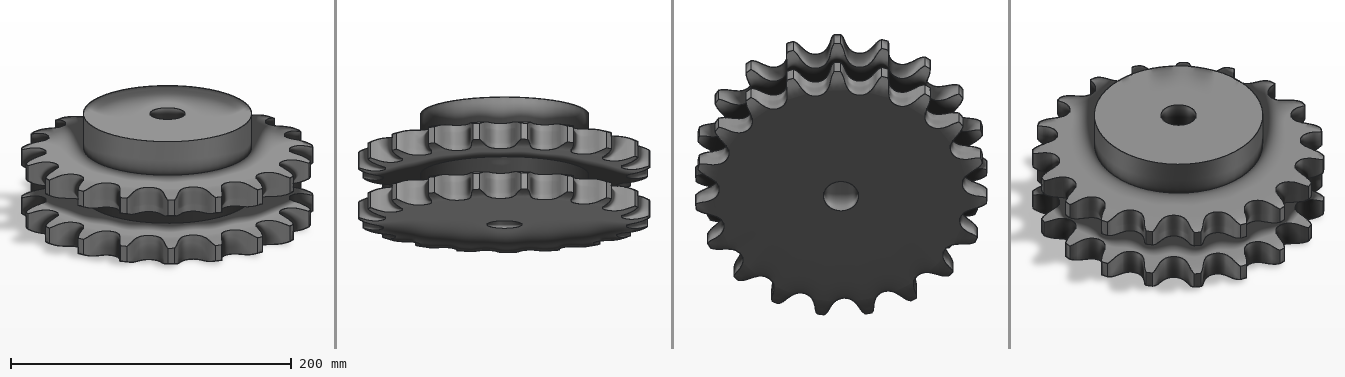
import cadquery as cq
import math


TOOTH_COUNT = 19
CHAIN_PITCH = 31.8
ROLLER_DIAMETER = 19.1
TIP_RADIUS = 104.0

ROW_COUNT = 2
ROW_THICKNESS = 18.3
ROW_SPACING = 36.3
BEVEL_DEPTH = 3.3
BEVEL_RADIUS = CHAIN_PITCH

HUB_DIAMETER = 120.0
HUB_HEIGHT = 80.0
BORE_DIAMETER = 25.0

WORKING_CENTRE_FACTOR = 0.8
TOPPING_CENTRE_FACTOR = 1.4
SEAT_RADIUS = ROLLER_DIAMETER / 2
SEAT_ANGLE = math.radians(35 + 60 / TOOTH_COUNT)
WORKING_ANGLE = math.radians(18 - 56 / TOOTH_COUNT)
FLANK_ANGLE = SEAT_ANGLE - WORKING_ANGLE

TOOTH_ANGLE = 2 * math.pi / TOOTH_COUNT
PITCH_RADIUS = CHAIN_PITCH / 2 / math.sin(TOOTH_ANGLE / 2)


def offset(point, distance, angle):
    """Point moved by a distance along a direction measured from +X."""
    return (point[0] + distance * math.cos(angle), point[1] + distance * math.sin(angle))


def mirrored(point):
    return (-point[0], point[1])


def turned(point, angle):
    radius = math.hypot(*point)
    return offset((0, 0), radius, math.atan2(point[1], point[0]) + angle)


def right_flank():
    """Points up the right side of the gap centred on +Y, from the seat end to the tooth tip."""
    seat_centre = (0, PITCH_RADIUS)
    seat_end = offset(seat_centre, SEAT_RADIUS, -SEAT_ANGLE)

    working_centre = offset(seat_centre, -WORKING_CENTRE_FACTOR * ROLLER_DIAMETER, -SEAT_ANGLE)
    working_radius = WORKING_CENTRE_FACTOR * ROLLER_DIAMETER + SEAT_RADIUS
    working_middle = offset(working_centre, working_radius, -(SEAT_ANGLE + FLANK_ANGLE) / 2)
    working_end = offset(working_centre, working_radius, -FLANK_ANGLE)

    topping_centre = offset(seat_centre, TOPPING_CENTRE_FACTOR * ROLLER_DIAMETER, -TOOTH_ANGLE / 2)
    across = topping_centre[0] - working_centre[0]
    upward = topping_centre[1] - working_centre[1]
    normal_distance = across * math.cos(FLANK_ANGLE) - upward * math.sin(FLANK_ANGLE)
    topping_radius = normal_distance - working_radius
    topping_start = offset(topping_centre, -topping_radius, -FLANK_ANGLE)

    centre_distance = math.hypot(*topping_centre)
    centre_angle = math.atan2(topping_centre[1], topping_centre[0])
    cosine = (TIP_RADIUS**2 + centre_distance**2 - topping_radius**2) / (2 * TIP_RADIUS * centre_distance)
    tip = offset((0, 0), TIP_RADIUS, centre_angle + math.acos(cosine))
    tip_angle = math.atan2(tip[1] - topping_centre[1], tip[0] - topping_centre[0])
    topping_middle = offset(topping_centre, topping_radius, (tip_angle + math.pi - FLANK_ANGLE) / 2)

    return seat_end, working_middle, working_end, topping_start, topping_middle, tip


def tooth_outline():
    """Closed outline of the toothed wheel, with a gap on +Y and a tooth on -Y."""
    seat_end, working_middle, working_end, topping_start, topping_middle, tip = right_flank()
    seat_bottom = (0, PITCH_RADIUS - SEAT_RADIUS)
    tip_middle = offset((0, 0), TIP_RADIUS, math.pi / 2 - TOOTH_ANGLE / 2)

    next_flank_start = turned(mirrored(tip), -TOOTH_ANGLE)

    gap_points = (
        mirrored(topping_middle), mirrored(topping_start),
        mirrored(working_end),
        mirrored(working_middle), mirrored(seat_end),
        seat_bottom, seat_end,
        working_middle, working_end,
        topping_start,
        topping_middle, tip,
        tip_middle, next_flank_start,
    )
    outline = cq.Workplane("XY").moveTo(*mirrored(tip))
    for index in range(TOOTH_COUNT):
        points = [turned(point, -index * TOOTH_ANGLE) for point in gap_points]
        outline = (
            outline
            .threePointArc(*points[0:2])
            .lineTo(*points[2])
            .threePointArc(*points[3:5])
            .threePointArc(*points[5:7])
            .threePointArc(*points[7:9])
            .lineTo(*points[9])
            .threePointArc(*points[10:12])
            .threePointArc(*points[12:14])
        )
    return outline.close()


def rounded_disc():
    """Disc whose rim is thinned on both sides by arcs tangent to the flat faces."""
    bevel_width = math.sqrt(2 * BEVEL_RADIUS * BEVEL_DEPTH - BEVEL_DEPTH**2)
    face_radius = TIP_RADIUS - bevel_width
    half_sweep = math.asin(bevel_width / BEVEL_RADIUS) / 2
    middle_radius = face_radius + BEVEL_RADIUS * math.sin(half_sweep)
    middle_depth = BEVEL_RADIUS * (1 - math.cos(half_sweep))
    return (
        cq.Workplane("XZ")
        .lineTo(face_radius, 0)
        .threePointArc((middle_radius, middle_depth), (TIP_RADIUS, BEVEL_DEPTH))
        .lineTo(TIP_RADIUS, ROW_THICKNESS - BEVEL_DEPTH)
        .threePointArc((middle_radius, ROW_THICKNESS - middle_depth), (face_radius, ROW_THICKNESS))
        .lineTo(0, ROW_THICKNESS)
        .close()
        .revolve(360, (0, 0, 0), (0, 1, 0))
    )


toothed_row = tooth_outline().extrude(ROW_THICKNESS).intersect(rounded_disc())

result = cq.Workplane("XY").circle(HUB_DIAMETER / 2).extrude(HUB_HEIGHT)
for row in range(ROW_COUNT):
    result = result.union(toothed_row.translate((0, 0, row * ROW_SPACING)))
result = result.cut(cq.Workplane("XY").circle(BORE_DIAMETER / 2).extrude(HUB_HEIGHT))